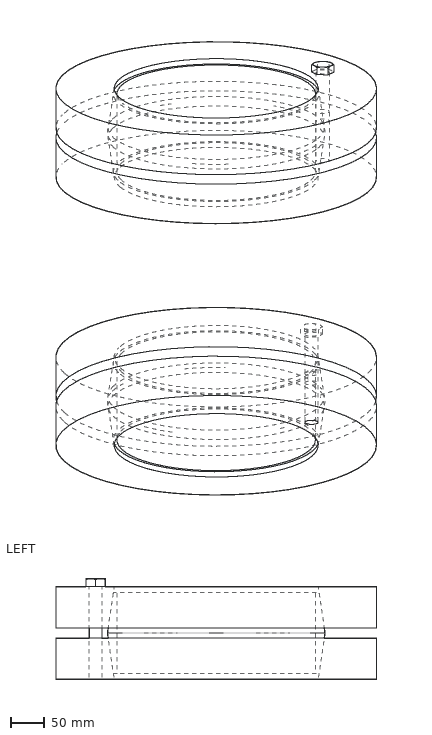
import cadquery as cq
import math


disc_diameter = 485.0
ring_thickness = 62.5
ring_gap = 15.0
disc_height = 2 * ring_thickness + ring_gap
middle_height = disc_height / 2

taper_wide_diameter = 329.5
taper_narrow_diameter = 308.5
taper_slope = (taper_wide_diameter - taper_narrow_diameter) / 2 / middle_height

bore_diameter = 300.0
inner_ring_recess = 8.5

bolt_offset = 182.5
shank_diameter = 20.0
head_height = 12.0
head_across_flats = 29.5
head_top_diameter = head_across_flats
head_corner_diameter = head_across_flats / math.cos(math.pi / 6)
head_chamfer_angle = 30.0


def taper_radius(height):
    """Radius of the double taper at a height above the bottom face."""
    return taper_wide_diameter / 2 - taper_slope * abs(height - middle_height)


def bolt_shank():
    """Cylinder through both thrust rings; it also cuts their bolt holes."""
    return cq.Workplane("XY").center(0, bolt_offset).circle(shank_diameter / 2).extrude(disc_height)


def make_thrust_ring(bottom):
    """Heavy ring with a tapered bore and a bolt hole."""
    top = bottom + ring_thickness
    outer_radius = disc_diameter / 2
    section = [
        (taper_radius(bottom), bottom),
        (outer_radius, bottom),
        (outer_radius, top),
        (taper_radius(top), top),
    ]
    ring = cq.Workplane("XZ").polyline(section).close().revolve(360, (0, 0), (0, 1))
    return ring.cut(bolt_shank())


def make_inner_ring():
    """Straight-bored ring whose outside tapers both ways from the middle."""
    bottom = inner_ring_recess
    top = disc_height - inner_ring_recess
    bore_radius = bore_diameter / 2
    section = [
        (bore_radius, bottom),
        (taper_radius(bottom), bottom),
        (taper_radius(middle_height), middle_height),
        (taper_radius(top), top),
        (bore_radius, top),
    ]
    return cq.Workplane("XZ").polyline(section).close().revolve(360, (0, 0), (0, 1))


def make_bolt():
    """Hexagon bolt with the head's top corners turned to a cone."""
    head = (
        cq.Workplane("XY", origin=(0, bolt_offset, disc_height))
        .polygon(6, head_corner_diameter)
        .extrude(head_height)
    )
    top_radius = head_top_diameter / 2
    corner_radius = head_corner_diameter / 2
    chamfer_drop = (corner_radius - top_radius) * math.tan(math.radians(head_chamfer_angle))
    turned_profile = [
        (0, 0),
        (corner_radius, 0),
        (corner_radius, head_height - chamfer_drop),
        (top_radius, head_height),
        (0, head_height),
    ]
    turned_blank = (
        cq.Workplane("XZ", origin=(0, bolt_offset, disc_height))
        .polyline(turned_profile)
        .close()
        .revolve(360, (0, 0), (0, 1))
    )
    return bolt_shank().union(head.intersect(turned_blank))


thrust_rings = [make_thrust_ring(bottom) for bottom in (0, ring_thickness + ring_gap)]
inner_ring = make_inner_ring()
bolt = make_bolt()

result = cq.Compound.makeCompound(
    [*(ring.val() for ring in thrust_rings), inner_ring.val(), bolt.val()]
)